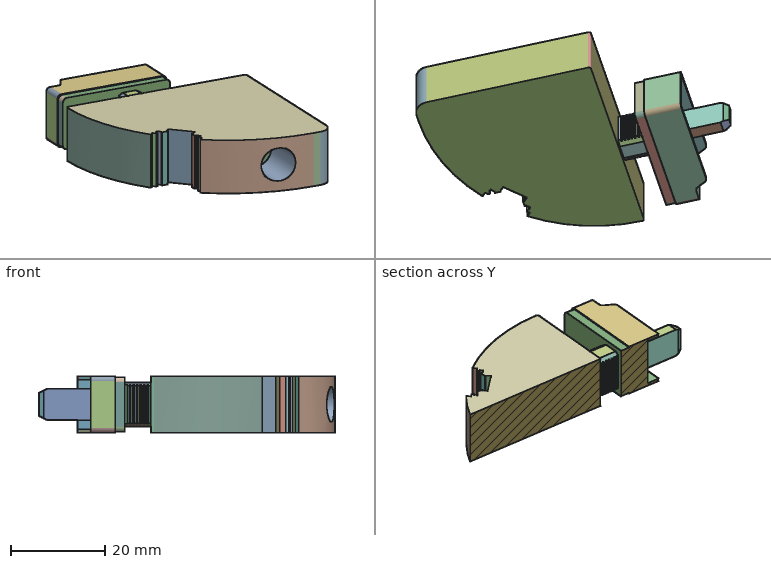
import cadquery as cq
import math


thickness = 12.0
body_length = 39.0
rear_corner_radius = 0.5
round_radius = body_length - rear_corner_radius
body_top = 25.05
body_bottom = -18.1
round_centre_x = body_length - round_radius
round_centre_y = body_bottom + round_radius
front_corner_radius = 3.0

notch_floor_distance = 33.8
notch_angle = -45.0
notch_reach = 8.0
floor_half_width = 2.88
groove_half_width = 4.85
mouth_half_width = 5.45
inner_rib_base = 1.1
inner_rib_tip = 2.25
inner_rib_tip_half_width = 3.6
inner_rib_overhang = 0.2
groove_bottom = 1.95
outer_rib_base = 2.6
outer_rib_edge = 2.8
outer_rib_edge_half_width = 4.4
mouth_bottom = 3.25
mouth_bottom_half_width = 4.65

hole_diameter = 7.4
hole_y = 12.5
hole_bottom_x = 28.0

stem_length = 5.5
stem_half_height = 4.67
stem_side_half_height = 3.95
stem_half_width = 2.83
stem_flat_half_width = 1.6
tooth_height = 0.3
tooth_pitch = 0.75
tooth_tip_width = tooth_pitch / 2
tooth_count = 7
groove_root_width = 0.2
plain_neck_length = 0.5

flange_length = 2.1
flange_inset = 0.2
housing_top = 10.0
housing_bottom = -16.15
housing_length = 8.0
housing_corner_radius = 1.0
housing_wall = 0.75
pocket_depth = 2.9
step_slope_start_y = -11.15
step_slope_end_y = -12.7
lip_round_radius = 1.0

blade_length = 11.05
blade_width = 2.5
blade_height = 6.65
tip_side_chamfer = 0.5
tip_side_chamfer_length = 1.1
tip_end_chamfer = 0.9
tip_end_chamfer_length = 1.75

flange_rear_x = -stem_length
housing_rear_x = flange_rear_x - flange_length
housing_front_x = housing_rear_x - housing_length
pocket_floor_x = housing_front_x + pocket_depth
tip_x = pocket_floor_x - blade_length


def block(x_min, x_max, y_min, y_max, height):
    """Box between the given x and y limits, centred on z = 0."""
    return (
        cq.Workplane("XY")
        .box(x_max - x_min, y_max - y_min, height)
        .translate(((x_min + x_max) / 2, (y_min + y_max) / 2, 0))
    )


def make_quarter_body():
    """Quarter-round block with rounded corners."""
    diagonal = round_radius * math.sqrt(0.5)
    body = (
        cq.Workplane("XY", origin=(0, 0, -thickness / 2))
        .moveTo(0, body_bottom + rear_corner_radius)
        .radiusArc((rear_corner_radius, body_bottom), -rear_corner_radius)
        .threePointArc(
            (round_centre_x + diagonal, round_centre_y - diagonal),
            (body_length, round_centre_y),
        )
        .lineTo(body_length, body_top)
        .lineTo(0, body_top)
        .close()
        .extrude(thickness)
    )
    body = body.edges("|Z and <X and >Y").fillet(rear_corner_radius)
    return body.edges("|Z and >X and >Y").fillet(front_corner_radius)


def make_notch_cutter():
    """Stepped notch; local x points outward from the floor, local y runs along it."""
    groove_inner_half_width = inner_rib_tip_half_width + inner_rib_tip - groove_bottom
    half_profile = [
        (0, floor_half_width),
        (inner_rib_base, floor_half_width),
        (inner_rib_base + inner_rib_overhang, floor_half_width - inner_rib_overhang),
        (inner_rib_tip, inner_rib_tip_half_width),
        (groove_bottom, groove_inner_half_width),
        (groove_bottom, groove_half_width),
        (outer_rib_base, groove_half_width),
        (outer_rib_edge, outer_rib_edge_half_width),
        (mouth_bottom, mouth_bottom_half_width),
        (mouth_bottom, mouth_half_width),
        (notch_reach, mouth_half_width),
    ]
    mirrored = [(out, -along) for out, along in reversed(half_profile)]
    return (
        cq.Workplane("XY", origin=(0, 0, -thickness / 2))
        .polyline(half_profile + mirrored)
        .close()
        .extrude(thickness)
        .translate((notch_floor_distance, 0, 0))
        .rotate((0, 0, 0), (0, 0, 1), notch_angle)
        .translate((round_centre_x, round_centre_y, 0))
    )


def make_hole_cutter():
    """Round hole running inward from the body's far side."""
    return (
        cq.Workplane("YZ", origin=(hole_bottom_x, hole_y, 0))
        .circle(hole_diameter / 2)
        .extrude(body_length - hole_bottom_x)
    )


def make_stem():
    """Bar with bevelled corners and a row of teeth along both sides."""
    corner = (stem_half_width, stem_side_half_height)
    bevel = (stem_flat_half_width, stem_half_height)
    stem = (
        cq.Workplane("YZ", origin=(flange_rear_x, 0, 0))
        .polyline([
            corner,
            bevel,
            (-bevel[0], bevel[1]),
            (-corner[0], corner[1]),
            (-corner[0], -corner[1]),
            (-bevel[0], -bevel[1]),
            (bevel[0], -bevel[1]),
            (corner[0], -corner[1]),
        ])
        .close()
        .extrude(stem_length)
    )
    root = stem_half_width - tooth_height
    first_tooth_x = flange_rear_x + plain_neck_length
    groove_width = tooth_pitch - tooth_tip_width
    flank_length = (groove_width - groove_root_width) / 2
    cutter = block(flange_rear_x, first_tooth_x, root, stem_half_width, thickness)
    for index in range(tooth_count - 1):
        groove_start = first_tooth_x + tooth_tip_width + index * tooth_pitch
        groove = (
            cq.Workplane("XY", origin=(0, 0, -thickness / 2))
            .polyline([
                (groove_start, stem_half_width),
                (groove_start + flank_length, root),
                (groove_start + flank_length + groove_root_width, root),
                (groove_start + groove_width, stem_half_width),
            ])
            .close()
            .extrude(thickness)
        )
        cutter = cutter.add(groove)
    cutter = cutter.combine()
    return stem.cut(cutter).cut(cutter.mirror("XZ"))


def make_housing():
    """Rounded box, stepped at its lower end and hollowed from the front."""
    housing = block(housing_front_x, housing_rear_x, housing_bottom, housing_top, thickness)
    housing = housing.edges("|X").fillet(housing_corner_radius)
    step = (
        cq.Workplane("XY", origin=(0, 0, -thickness / 2))
        .polyline([
            (housing_front_x, step_slope_start_y),
            (pocket_floor_x, step_slope_end_y),
            (pocket_floor_x, housing_bottom),
            (housing_front_x, housing_bottom),
        ])
        .close()
        .extrude(thickness)
    )
    housing = housing.cut(step)
    for corner in ((housing_front_x, step_slope_start_y, 0), (pocket_floor_x, step_slope_end_y, 0)):
        corner_edge = cq.selectors.NearestToPointSelector(corner)
        housing = housing.edges("|Z").edges(corner_edge).fillet(lip_round_radius)
    pocket = block(
        housing_front_x, pocket_floor_x, housing_bottom, housing_top - housing_wall,
        thickness - 2 * housing_wall,
    )
    return housing.cut(pocket)


def make_flange():
    """Rounded plate, slightly smaller than the housing it closes."""
    flange = block(
        housing_rear_x, flange_rear_x,
        housing_bottom + flange_inset, housing_top - flange_inset,
        thickness - 2 * flange_inset,
    )
    return flange.edges("|X").fillet(housing_corner_radius)


def make_blade():
    """Flat blade whose tip is bevelled on all four sides."""
    half_width = blade_width / 2
    half_height = blade_height / 2
    plan = (
        cq.Workplane("XY", origin=(0, 0, -half_height))
        .polyline([
            (pocket_floor_x, -half_width),
            (pocket_floor_x, half_width),
            (tip_x + tip_side_chamfer_length, half_width),
            (tip_x, half_width - tip_side_chamfer),
            (tip_x, tip_side_chamfer - half_width),
            (tip_x + tip_side_chamfer_length, -half_width),
        ])
        .close()
        .extrude(blade_height)
    )
    side = (
        cq.Workplane("XZ", origin=(0, half_width, 0))
        .polyline([
            (pocket_floor_x, -half_height),
            (pocket_floor_x, half_height),
            (tip_x + tip_end_chamfer_length, half_height),
            (tip_x, half_height - tip_end_chamfer),
            (tip_x, tip_end_chamfer - half_height),
            (tip_x + tip_end_chamfer_length, -half_height),
        ])
        .close()
        .extrude(blade_width)
    )
    return plan.intersect(side)


body = make_quarter_body().cut(make_notch_cutter()).cut(make_hole_cutter())
result = body.union(make_stem()).union(make_flange()).union(make_housing()).union(make_blade())